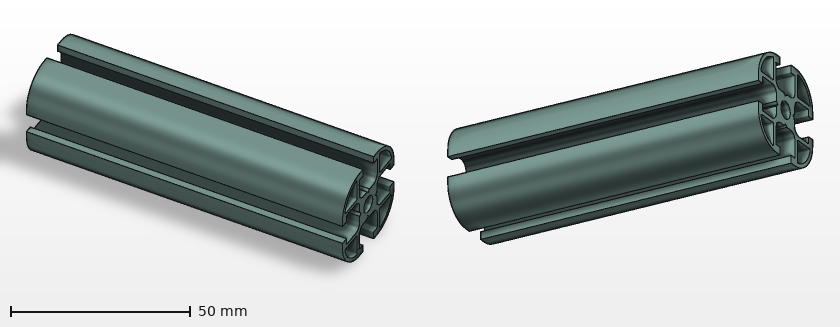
import cadquery as cq
import math

length = 100.0
size = 30.0
corner_radius = 10.0

slot_opening = 6.2
slot_width = 10.5
lip_depth = 2.4
core_width = 10.0
slot_floor_radius = 2.5
lip_radius = 0.2

groove_width = 1.5
groove_depth = 0.7

bore_diameter = 5.2

web = 1.3
outer_wall = 1.2
cavity_corner_radius = 0.5

half_size = size / 2
corner_center = half_size - corner_radius


def profile_plane():
    """YZ plane at the -X end of the bar."""
    return cq.Workplane("YZ", origin=(-length / 2, 0, 0))


def make_body():
    """Square bar with rounded long edges."""
    return (
        profile_plane()
        .rect(size, size)
        .extrude(length)
        .edges("|X")
        .fillet(corner_radius)
    )


def make_slot():
    """T-slot on the +Z side: half its outline, mirrored about the Z axis."""
    half_opening = slot_opening / 2
    half_slot = slot_width / 2
    lip_z = half_size - lip_depth
    floor_z = core_width / 2
    return (
        profile_plane()
        .moveTo(0, half_size)
        .lineTo(half_opening, half_size)
        .lineTo(half_opening, lip_z + lip_radius)
        .radiusArc((half_opening + lip_radius, lip_z), -lip_radius)
        .lineTo(half_slot - lip_radius, lip_z)
        .radiusArc((half_slot, lip_z - lip_radius), lip_radius)
        .lineTo(half_slot, floor_z + slot_floor_radius)
        .radiusArc((half_slot - slot_floor_radius, floor_z), slot_floor_radius)
        .lineTo(groove_width / 2, floor_z)
        .lineTo(0, floor_z - groove_depth)
        .mirrorY()
        .extrude(length)
    )


def make_cavity():
    """Hollow of the +Y +Z corner: two flat webs closed by an arc concentric with the outer corner."""
    inner = slot_width / 2 + web
    arc_radius = corner_radius - outer_wall
    arc_end = corner_center + math.sqrt(arc_radius**2 - (inner - corner_center) ** 2)
    arc_middle = corner_center + arc_radius * math.cos(math.pi / 4)
    return (
        profile_plane()
        .moveTo(inner, inner)
        .lineTo(arc_end, inner)
        .threePointArc((arc_middle, arc_middle), (inner, arc_end))
        .close()
        .extrude(length)
        .edges("|X")
        .fillet(cavity_corner_radius)
    )


slot = make_slot()
cavity = make_cavity()
bore = profile_plane().circle(bore_diameter / 2).extrude(length)

result = make_body().cut(bore)
for angle in (0, 90, 180, 270):
    for cutter in (slot, cavity):
        result = result.cut(cutter.rotate((0, 0, 0), (1, 0, 0), angle))